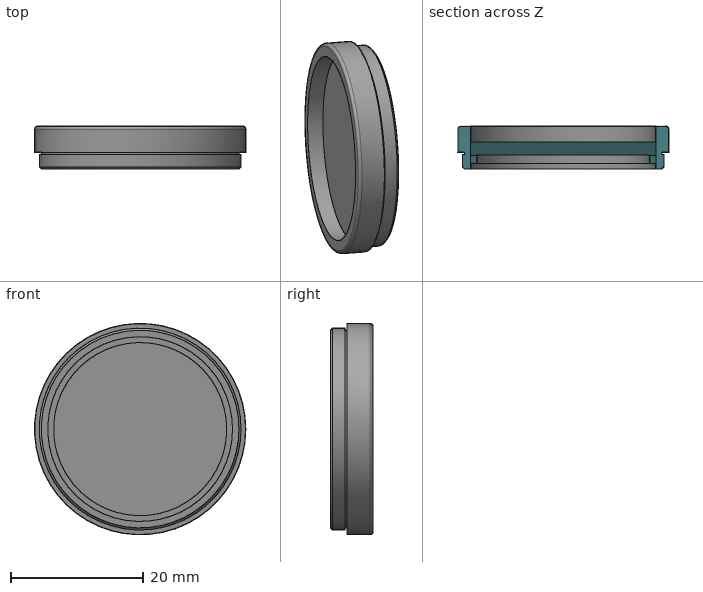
import cadquery as cq

outer_diameter = 32.0
total_depth = 6.5
flange_depth = 3.97
flange_fillet = 0.48

spigot_diameter = 30.55
spigot_chamfer = 0.32
relief_diameter = 29.95
relief_width = 0.32

bore_diameter = 27.97
ring_inner_diameter = 26.2
ring_setback = 0.83
ring_depth = 1.28
glass_thickness = 2.0

front_y = -total_depth / 2
back_y = total_depth / 2
flange_front_y = back_y - flange_depth
ring_front_y = front_y + ring_setback
glass_front_y = ring_front_y + ring_depth


def disc(diameter, start_y, depth):
    """Solid disc on the Y axis, reaching from start_y toward +Y."""
    return cq.Workplane("XZ", origin=(0, start_y, 0)).circle(diameter / 2).extrude(-depth)


def make_housing():
    """Flanged mount with a relief groove behind its spigot and a through bore."""
    flange = disc(outer_diameter, flange_front_y, flange_depth)
    flange = flange.faces(">Y").edges().fillet(flange_fillet)

    spigot_depth = total_depth - flange_depth - relief_width
    spigot = disc(spigot_diameter, front_y, spigot_depth)
    spigot = spigot.faces("<Y").edges().chamfer(spigot_chamfer)

    relief = disc(relief_diameter, flange_front_y - relief_width, relief_width)
    bore = disc(bore_diameter, front_y, total_depth)
    return flange.union(relief).union(spigot).cut(bore)


def make_retaining_ring():
    """Plain ring that sits in the bore in front of the glass."""
    opening = disc(ring_inner_diameter, ring_front_y, ring_depth)
    return disc(bore_diameter, ring_front_y, ring_depth).cut(opening)


def make_glass():
    """Flat round pane that fills the bore behind the retaining ring."""
    return disc(bore_diameter, glass_front_y, glass_thickness)


housing = make_housing()
retaining_ring = make_retaining_ring()
glass = make_glass()

result = cq.Compound.makeCompound([housing.val(), retaining_ring.val(), glass.val()])